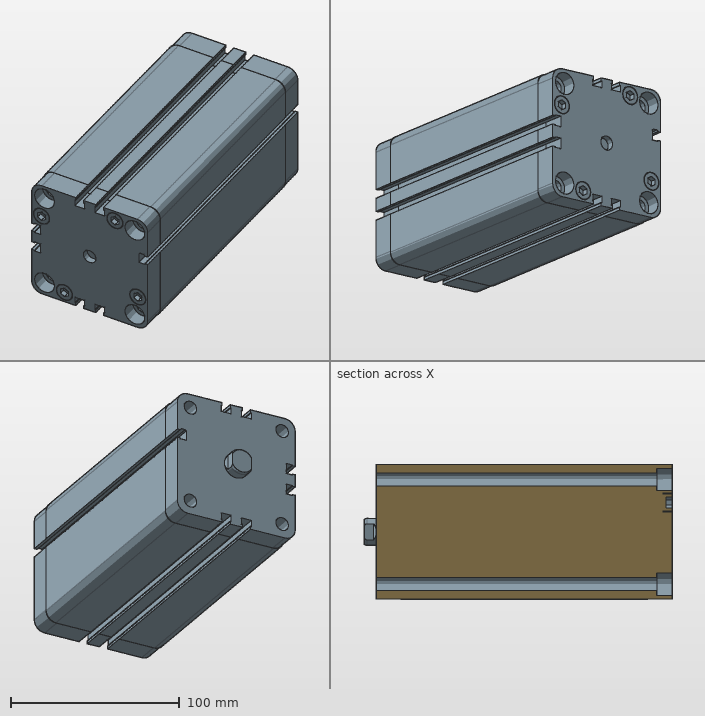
import cadquery as cq
import math

width = 80.0
cap_inset = 0.1
total_length = 182.5
rod_length = 7.1
housing_length = total_length - rod_length
cap_length = 14.6
cap_corner_radius = 7.1
barrel_corner_radius = 6.5

groove_spacing = 13.7
groove_mouth = 5.5
groove_inner = 6.5
groove_depth = 6.0
groove_lip = 2.0
side_groove_height = 11.9
side_groove_relief = 1.0
side_groove_bevel = 0.7

mount_offset = 31.0
mount_diameter = 8.4
mount_bore_diameter = 13.5
mount_bore_depth = 9.1

screw_near = 17.3
screw_far = 33.0
screw_head_diameter = 10.5
screw_bore_diameter = 11.1
screw_gap_depth = 5.5
hex_across_flats = 5.3
hex_depth = 3.6

center_hole_diameter = 8.5
center_hole_depth = 4.4

rod_radius = 16.0 / 2
rod_flat_distance = 13.0 / 2
rod_flat_length = 5.7
rod_tip_length = 1.6
rod_tip_drop = 0.7


def plane_at(y):
    """XZ plane at the given Y, with local x, y along X, Z and normal toward -Y."""
    return cq.Workplane("XZ", origin=(0, y, 0))


def groove(side, center, start, length):
    """T-groove opening on the +Z face at the given X."""
    face = side / 2
    inner_height = groove_depth - groove_lip
    mouth = plane_at(start).center(center, face - groove_depth / 2)
    mouth = mouth.rect(groove_mouth, groove_depth).extrude(-length)
    inner = plane_at(start).center(center, face - groove_depth + inner_height / 2)
    inner = inner.rect(groove_inner, inner_height).extrude(-length)
    return mouth.union(inner)


def side_groove(side, start, length):
    """Groove on the +X face, with a bevelled relief along its upper wall."""
    face = side / 2
    floor = face - groove_depth
    lip = face - groove_lip
    mouth_top = side_groove_height + groove_mouth / 2
    mouth_bottom = side_groove_height - groove_mouth / 2
    inner_top = mouth_top + side_groove_relief
    inner_bottom = side_groove_height - groove_inner / 2
    outline = [
        (face, mouth_bottom),
        (lip, mouth_bottom),
        (lip, inner_bottom),
        (floor, inner_bottom),
        (floor, inner_top - side_groove_bevel),
        (floor + side_groove_bevel, inner_top),
        (lip - side_groove_bevel, inner_top),
        (lip, mouth_top),
        (face, mouth_top),
    ]
    return plane_at(start).polyline(outline).close().extrude(-length)


def grooved_block(side, corner_radius, start, length):
    """Square length of housing with rounded corners and all its grooves."""
    block = plane_at(start).rect(side, side).extrude(-length)
    block = block.edges("|Y").fillet(corner_radius)
    block = block.cut(side_groove(side, start, length))
    for turn in (0, 90, 180):
        for sign in (-1, 1):
            cutter = groove(side, sign * groove_spacing / 2, start, length)
            block = block.cut(cutter.rotate((0, 0, 0), (0, 1, 0), -turn))
    return block


def housing():
    rear_cap_start = housing_length - cap_length
    cap_side = width - 2 * cap_inset
    body = grooved_block(width, barrel_corner_radius, cap_length, rear_cap_start - cap_length)
    for start in (0, rear_cap_start):
        body = body.union(grooved_block(cap_side, cap_corner_radius, start, cap_length))
    return body


def mounting_holes():
    pitch = 2 * mount_offset
    through = plane_at(0).rect(pitch, pitch, forConstruction=True).vertices()
    through = through.circle(mount_diameter / 2).extrude(-housing_length)
    bores = plane_at(0).rect(pitch, pitch, forConstruction=True).vertices()
    bores = bores.circle(mount_bore_diameter / 2).extrude(-mount_bore_depth)
    return through.union(bores)


def screw_recesses():
    """Ring gap and hexagon socket of each cap screw."""
    centers = [
        (screw_near, screw_far),
        (-screw_far, screw_near),
        (-screw_near, -screw_far),
        (screw_far, -screw_near),
    ]
    gaps = plane_at(0).pushPoints(centers).circle(screw_bore_diameter / 2)
    gaps = gaps.circle(screw_head_diameter / 2).extrude(-screw_gap_depth)
    hex_radius = hex_across_flats / math.sqrt(3)
    corner_angles = [math.radians(30 + 60 * i) for i in range(6)]
    for x, z in centers:
        corners = [(x + hex_radius * math.cos(a), z + hex_radius * math.sin(a)) for a in corner_angles]
        gaps = gaps.union(plane_at(0).polyline(corners).close().extrude(-hex_depth))
    return gaps


def center_hole():
    return plane_at(0).circle(center_hole_diameter / 2).extrude(-center_hole_depth)


def rod_flat():
    """Cutter for the +X wrench flat, running out at 45 degrees."""
    runout = 2 * (rod_radius - rod_flat_distance)
    flat_end = total_length - rod_flat_length
    cutter = (
        cq.Workplane("XY", origin=(0, 0, -rod_radius))
        .moveTo(rod_flat_distance, total_length)
        .lineTo(rod_flat_distance, flat_end)
        .lineTo(rod_flat_distance + runout, flat_end - runout)
        .lineTo(rod_flat_distance + runout, total_length)
        .close()
        .extrude(2 * rod_radius)
    )
    keep = plane_at(housing_length).rect(width, width).extrude(-rod_length)
    return cutter.intersect(keep)


def rod():
    tip_start = total_length - rod_tip_length
    profile = (
        cq.Workplane("XY")
        .moveTo(0, housing_length - cap_length)
        .lineTo(rod_radius, housing_length - cap_length)
        .lineTo(rod_radius, tip_start)
        .tangentArcPoint((rod_radius - rod_tip_drop, total_length), relative=False)
        .lineTo(0, total_length)
        .close()
    )
    body = profile.revolve(360, (0, 0, 0), (0, 1, 0))
    flat = rod_flat()
    return body.cut(flat).cut(flat.mirror("YZ"))


result = (
    housing()
    .cut(mounting_holes())
    .cut(screw_recesses())
    .cut(center_hole())
    .union(rod())
    .translate((0, -total_length / 2, 0))
)